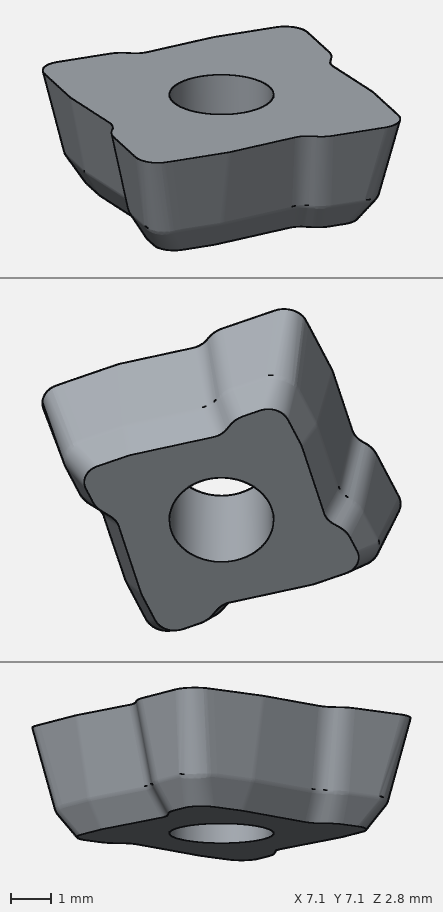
import cadquery as cq
import math

side = 7.1
thickness = 2.8
hole_diameter = 2.6

belt_height = 0.71
upper_draft = math.radians(11)
lower_draft = math.radians(30)
belt_radius = 0.3
belt_reach = 0.14

ramp_start_x = -1.27
valley_x = 0.84
ramp_angle = math.radians(8)
wall_angle = math.radians(32)
ramp_radius = 0.8
upper_valley_radius = 0.62
upper_shoulder_radius = 0.79
lower_valley_radius = 0.57
lower_shoulder_radius = 0.74

nose_radius = 0.6
blend_radius = 0.455
nose_end_angle = math.radians(15)
wiper_angle = math.radians(1.6)

lower_corner_radius = 0.53

half_side = side / 2
valley_depth = (valley_x - ramp_start_x) * math.tan(ramp_angle)
shoulder_x = valley_x + valley_depth / math.tan(wall_angle)
belt_inset = (thickness - belt_height) * math.tan(upper_draft)


def shifted(point, shift):
    return (point[0] + shift[0], point[1] + shift[1])


def arc_point(center, radius, heading):
    """Point of an anticlockwise arc where it travels in the given heading."""
    return (center[0] + radius * math.sin(heading), center[1] - radius * math.cos(heading))


def arc_points(center, radius, start_heading, end_heading):
    """Start, middle and end of an arc; a negative radius turns it clockwise."""
    middle_heading = (start_heading + end_heading) / 2
    return [arc_point(center, radius, h) for h in (start_heading, middle_heading, end_heading)]


def vertex_arc(vertex, radius, start_heading, end_heading):
    """Arc that rounds the vertex between two lines of the given headings."""
    turn = end_heading - start_heading
    signed_radius = math.copysign(radius, turn)
    tangent_length = radius * math.tan(abs(turn) / 2)
    start = shifted(vertex, (-tangent_length * math.cos(start_heading),
                             -tangent_length * math.sin(start_heading)))
    center = (start[0] - signed_radius * math.sin(start_heading),
              start[1] + signed_radius * math.cos(start_heading))
    return arc_points(center, signed_radius, start_heading, end_heading)


def inset_vertex(vertex, inset, start_heading, end_heading):
    """Vertex after both of its lines have moved into the body by the inset."""
    bisector = (start_heading + end_heading) / 2 + math.pi / 2
    distance = inset / math.cos((end_heading - start_heading) / 2)
    return shifted(vertex, (distance * math.cos(bisector), distance * math.sin(bisector)))


def notch_pieces(inset, valley_radius, shoulder_radius):
    """Ramp, valley and shoulder arcs of the -Y notch and the lines between them."""
    notch_vertices = [
        ((ramp_start_x, -half_side), ramp_radius, 0, ramp_angle),
        ((valley_x, -half_side + valley_depth), valley_radius, ramp_angle, -wall_angle),
        ((shoulder_x, -half_side), shoulder_radius, -wall_angle, 0),
    ]
    arcs = []
    for vertex, radius, start_heading, end_heading in notch_vertices:
        moved = inset_vertex(vertex, inset, start_heading, end_heading)
        arcs.append(vertex_arc(moved, radius, start_heading, end_heading))
    ramp, valley, shoulder = arcs
    return [ramp, (ramp[-1], valley[0]), valley, (valley[-1], shoulder[0]), shoulder]


def nose_pieces(inset):
    """Nose arc, blend arc and wiper facet of the upper corner at -X, -Y."""
    nose_center = (-half_side + nose_radius + inset,) * 2
    nose = arc_points(nose_center, nose_radius, -math.pi / 2, -nose_end_angle)
    blend_offset = blend_radius - nose_radius
    blend_center = shifted(nose_center, (blend_offset * math.sin(nose_end_angle),
                                         blend_offset * math.cos(nose_end_angle)))
    blend = arc_points(blend_center, blend_radius, -nose_end_angle, -wiper_angle)
    facet_start = blend[-1]
    side_y = -half_side + inset
    facet_end = (facet_start[0] + (facet_start[1] - side_y) / math.tan(wiper_angle), side_y)
    return [nose, blend, (facet_start, facet_end)]


def lower_corner_pieces(inset):
    """Plain quarter arc of the lower corner at -X, -Y."""
    center = (-half_side + lower_corner_radius + inset,) * 2
    return [arc_points(center, lower_corner_radius, -math.pi / 2, 0)]


def rotated(point, quarter_turns):
    angle = quarter_turns * math.pi / 2
    return cq.Vector(point[0] * math.cos(angle) - point[1] * math.sin(angle),
                     point[0] * math.sin(angle) + point[1] * math.cos(angle))


def closed_outline(corner, notch, height):
    """Wire at a height from one corner and one notch, repeated on all four sides."""
    next_corner_start = rotated(corner[0][0], 1).toTuple()[:2]
    side_pieces = [
        *corner,
        (corner[-1][-1], notch[0][0]),
        *notch,
        (notch[-1][-1], next_corner_start),
    ]
    edges = []
    for quarter_turns in range(4):
        for piece in side_pieces:
            points = [rotated(point, quarter_turns) for point in piece]
            make_edge = cq.Edge.makeThreePointArc if len(points) == 3 else cq.Edge.makeLine
            edges.append(make_edge(*points))
    return cq.Wire.assembleEdges(edges).translate(cq.Vector(0, 0, height))


def upper_outline(height):
    inset = (thickness - height) * math.tan(upper_draft)
    notch = notch_pieces(inset, upper_valley_radius, upper_shoulder_radius)
    return closed_outline(nose_pieces(inset), notch, height)


def lower_outline(height):
    inset = belt_inset + (belt_height - height) * math.tan(lower_draft)
    notch = notch_pieces(inset, lower_valley_radius, lower_shoulder_radius)
    return closed_outline(lower_corner_pieces(inset), notch, height)


def ruled_body(bottom, top):
    return cq.Workplane(obj=cq.Solid.makeLoft([bottom, top], True))


upper_body = ruled_body(upper_outline(0), upper_outline(thickness))
lower_body = ruled_body(lower_outline(0), lower_outline(thickness))
body = upper_body.intersect(lower_body)

belt_zone = cq.selectors.BoxSelector(
    (-side, -side, belt_height - belt_reach),
    (side, side, belt_height + belt_reach),
    boundingbox=True,
)
body = body.edges(belt_zone).fillet(belt_radius)

result = body.faces(">Z").workplane(origin=(0, 0, thickness)).hole(hole_diameter)